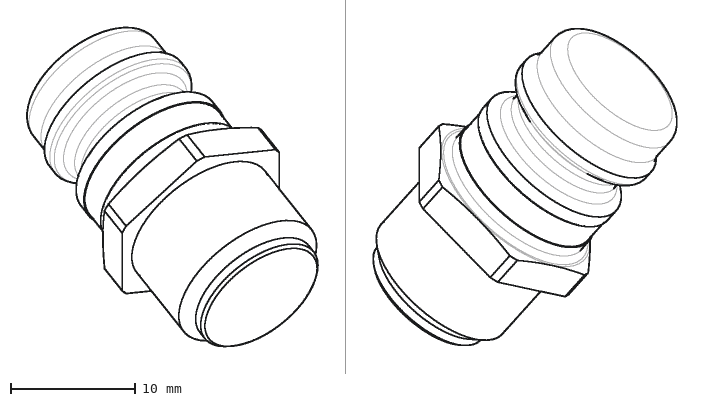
import cadquery as cq
import math

TOTAL_LENGTH = 25.9
HEX_START = 14.0
HEX_END = 16.9
RIB_START = 4.1
RELIEF_START = 10.0
RELIEF_END = 12.5

PLUG_RADIUS = 12.5 / 2
LAND_RADIUS = 13.5 / 2
RELIEF_RADIUS = 13.3 / 2
SHANK_RADIUS = 13.16 / 2
NOSE_RADIUS = 11.2 / 2

PLUG_FILLET = 1.0
RIB_FILLET = 2.0

GROOVE_RADIUS = 10.8 / 2
GROOVE_FLOOR_START = 6.46
GROOVE_FLOOR_END = 7.4
GROOVE_FILLET = 1.0
GROOVE_FRONT_ANGLE = math.radians(60)
GROOVE_REAR_ANGLE = math.radians(57)
RIB_EDGE_FILLET = 0.4

HEX_FLATS = 15.0
HEX_CORNER_RADIUS = 16.9 / 2
HEX_FACE_RADIUS = 14.9 / 2
HEX_CHAMFER_ANGLE = math.radians(15)
COLLAR_FILLET = 0.5

NOSE_LENGTH = 1.0
NOSE_CHAMFER = 0.25


def arc_point(center, radius, angle):
    """Point on a circle in the (axial, radial) profile plane."""
    return (center[0] + radius * math.cos(angle), center[1] + radius * math.sin(angle))


def add_arc(profile, center, radius, start_angle, end_angle):
    """Continue the profile along a circular arc that starts at its current end."""
    middle = arc_point(center, radius, (start_angle + end_angle) / 2)
    end = arc_point(center, radius, end_angle)
    return profile.threePointArc(middle, end)


def make_turned_body():
    """Revolve the stepped outline about the X axis."""
    down = -math.pi / 2
    up = math.pi / 2

    plug_center = (PLUG_FILLET, PLUG_RADIUS - PLUG_FILLET)
    rise_angle = math.acos(1 - (LAND_RADIUS - PLUG_RADIUS) / RIB_FILLET)
    rise_start = RIB_START - RIB_FILLET * math.sin(rise_angle)
    rise_center = (rise_start, PLUG_RADIUS + RIB_FILLET)
    profile = cq.Workplane("XY").lineTo(0, plug_center[1])
    profile = add_arc(profile, plug_center, PLUG_FILLET, math.pi, up)
    profile = profile.lineTo(rise_start, PLUG_RADIUS)
    profile = add_arc(profile, rise_center, RIB_FILLET, down, down + rise_angle)

    front_center = (GROOVE_FLOOR_START, GROOVE_RADIUS + GROOVE_FILLET)
    front_foot = arc_point(front_center, GROOVE_FILLET, down - GROOVE_FRONT_ANGLE)
    rib_corner = front_foot[0] - (LAND_RADIUS - front_foot[1]) / math.tan(GROOVE_FRONT_ANGLE)
    rib_end = rib_corner - RIB_EDGE_FILLET * math.tan(GROOVE_FRONT_ANGLE / 2)
    rib_edge_center = (rib_end, LAND_RADIUS - RIB_EDGE_FILLET)
    profile = profile.lineTo(rib_end, LAND_RADIUS)
    profile = add_arc(profile, rib_edge_center, RIB_EDGE_FILLET, up, up - GROOVE_FRONT_ANGLE)
    profile = profile.lineTo(*front_foot)
    profile = add_arc(profile, front_center, GROOVE_FILLET, down - GROOVE_FRONT_ANGLE, down)

    rear_center = (GROOVE_FLOOR_END, GROOVE_RADIUS + GROOVE_FILLET)
    rear_foot = arc_point(rear_center, GROOVE_FILLET, down + GROOVE_REAR_ANGLE)
    body_start = rear_foot[0] + (LAND_RADIUS - rear_foot[1]) / math.tan(GROOVE_REAR_ANGLE)
    profile = profile.lineTo(GROOVE_FLOOR_END, GROOVE_RADIUS)
    profile = add_arc(profile, rear_center, GROOVE_FILLET, down, down + GROOVE_REAR_ANGLE)
    profile = profile.lineTo(body_start, LAND_RADIUS)

    collar_center = (HEX_START - COLLAR_FILLET, LAND_RADIUS + COLLAR_FILLET)
    profile = (
        profile.lineTo(RELIEF_START, LAND_RADIUS)
        .lineTo(RELIEF_START, RELIEF_RADIUS)
        .lineTo(RELIEF_END, RELIEF_RADIUS)
        .lineTo(RELIEF_END, LAND_RADIUS)
        .lineTo(collar_center[0], LAND_RADIUS)
    )
    profile = add_arc(profile, collar_center, COLLAR_FILLET, down, 0)

    nose_start = TOTAL_LENGTH - NOSE_LENGTH
    shank_end = nose_start - (SHANK_RADIUS - NOSE_RADIUS)
    profile = (
        profile.lineTo(HEX_END, collar_center[1])
        .lineTo(HEX_END, SHANK_RADIUS)
        .lineTo(shank_end, SHANK_RADIUS)
        .lineTo(nose_start, NOSE_RADIUS)
        .lineTo(TOTAL_LENGTH - NOSE_CHAMFER, NOSE_RADIUS)
        .lineTo(TOTAL_LENGTH, NOSE_RADIUS - NOSE_CHAMFER)
        .lineTo(TOTAL_LENGTH, 0)
        .close()
    )
    return profile.revolve(360, (0, 0, 0), (1, 0, 0))


def make_hex_collar():
    """Hexagon with flats facing +/-Y, turned corners and a conical front chamfer."""
    corner_diameter = HEX_FLATS / math.cos(math.pi / 6)
    hexagon = (
        cq.Workplane("YZ", origin=(HEX_START, 0, 0))
        .transformed(rotate=(0, 0, 90))
        .polygon(6, corner_diameter)
        .extrude(HEX_END - HEX_START)
    )
    chamfer_depth = (HEX_CORNER_RADIUS - HEX_FACE_RADIUS) * math.tan(HEX_CHAMFER_ANGLE)
    turned_blank = (
        cq.Workplane("XY")
        .moveTo(HEX_START, 0)
        .lineTo(HEX_START, HEX_FACE_RADIUS)
        .lineTo(HEX_START + chamfer_depth, HEX_CORNER_RADIUS)
        .lineTo(HEX_END, HEX_CORNER_RADIUS)
        .lineTo(HEX_END, 0)
        .close()
        .revolve(360, (0, 0, 0), (1, 0, 0))
    )
    return hexagon.intersect(turned_blank)


result = make_turned_body().union(make_hex_collar())